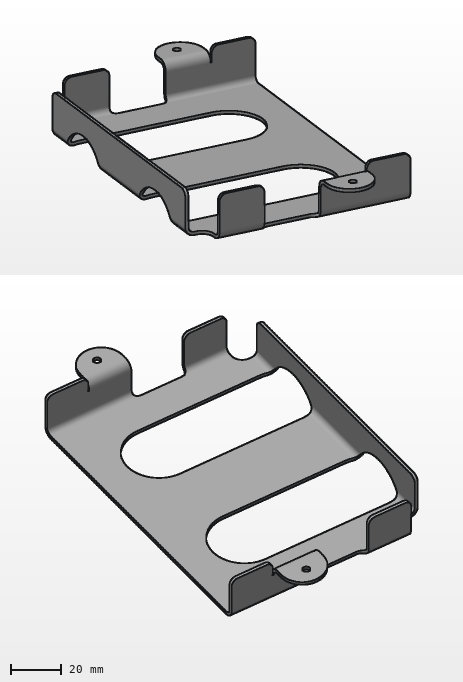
import cadquery as cq
import math

thickness = 1.5
inner_radius = 2.5
outer_radius = inner_radius + thickness
mid_radius = inner_radius + thickness / 2
corner_radius = 3.0

depth = 95.0
half_width = 65.5
plate_half_width = half_width - outer_radius
side_wall_height = 20.0
rear_wall_height = 20.5
front_tab_span = (10.0, 30.0)
notch_fillet = 3.0

front_half_width = 55.5
front_wall_height = 20.0
front_relief_radius = 5.0

ear_radius = 10.0
ear_tip_x = 80.5
ear_center = (ear_tip_x - ear_radius, 65.0)
ear_span = (ear_center[1] - ear_radius, ear_center[1] + ear_radius)
ear_top = 17.5
ear_bottom = ear_top - thickness
ear_bend_x = half_width + inner_radius
ear_bend_z = ear_bottom - inner_radius
ear_hole_diameter = 3.2
ear_hole_x = 73.5
slit_width = 0.5

slot_radius = 15.0
slot_x = 30.0
slot_rear_y = 65.0
slot_tip_z = 10.5
bend_length = mid_radius * math.radians(90)
slot_front_y = outer_radius + slot_radius - bend_length - (slot_tip_z - outer_radius)
slot_wall_z = slot_tip_z - slot_radius

side_bend_axes = ((1, 0, 0), (0, -1, 0))
front_bend_axes = ((0, -1, 0), (-1, 0, 0))
right_angle = math.radians(90)

loft_steps = 8
cut_margin = 0.5


def box(x_span, y_span, z_span):
    """Axis-aligned box given by its (low, high) spans."""
    size = [span[1] - span[0] for span in (x_span, y_span, z_span)]
    return cq.Workplane("XY").box(*size, centered=False).translate((x_span[0], y_span[0], z_span[0]))


def front_bend_point(along, radius, angle):
    """Point in the front bend; angle 0 is at the plate and 90 degrees at the wall."""
    y = outer_radius - radius * math.sin(angle)
    z = outer_radius - radius * math.cos(angle)
    return cq.Vector(along, y, z)


def side_bend_point(along, radius, angle):
    """Point in the +X side bend; angle 0 is at the plate and 90 degrees at the wall."""
    x = plate_half_width + radius * math.sin(angle)
    z = outer_radius - radius * math.cos(angle)
    return cq.Vector(x, along, z)


def bend_loft(bend_point, angles, spans, radii):
    """Piece of a bend whose span along the bend axis changes with the bend angle."""
    wires = []
    for angle, (low, high) in zip(angles, spans):
        corners = [(low, radii[0]), (high, radii[0]), (high, radii[1]), (low, radii[1])]
        points = [bend_point(along, radius, angle) for along, radius in corners]
        wires.append(cq.Wire.makePolygon(points, close=True))
    return cq.Workplane(obj=cq.Solid.makeLoft(wires))


def quarter_bend(axes, origin, length):
    """Quarter ring around the local origin in the local +x, -y quadrant, extruded by length."""
    diagonal = math.cos(math.radians(45))
    return (
        cq.Workplane(cq.Plane(origin=origin, xDir=axes[0], normal=axes[1]))
        .moveTo(0, -outer_radius)
        .threePointArc((outer_radius * diagonal, -outer_radius * diagonal), (outer_radius, 0))
        .lineTo(inner_radius, 0)
        .threePointArc((inner_radius * diagonal, -inner_radius * diagonal), (0, -inner_radius))
        .close()
        .extrude(length)
    )


def base_plate():
    """Flat plate with rounded inner corners beside the front wall."""
    side_y = front_tab_span[0]
    rear = box((-plate_half_width, plate_half_width), (side_y, depth), (0, thickness))
    front = box((-front_half_width, front_half_width), (outer_radius, side_y), (0, thickness))
    plate = rear.union(front)
    relief_x = front_half_width + front_relief_radius
    relief_y = side_y - front_relief_radius
    for side in (1, -1):
        x_span = sorted((side * front_half_width, side * relief_x))
        web = box(x_span, (relief_y, side_y), (0, thickness))
        round_cut = cq.Workplane("XY").center(side * relief_x, relief_y).circle(front_relief_radius)
        plate = plate.union(web.cut(round_cut.extrude(thickness)))
    return plate


def front_wall():
    """Front wall with rounded top corners, and its bend."""
    wall = box((-front_half_width, front_half_width), (0, thickness), (outer_radius, front_wall_height))
    wall = wall.edges("|Y and >Z").fillet(corner_radius)
    origin = (front_half_width, outer_radius, outer_radius)
    return wall.union(quarter_bend(front_bend_axes, origin, 2 * front_half_width))


def slot_cutters(center_x):
    """Plate, wall and bend cutting bodies of one round-ended slot, developed around the front bend."""
    x_span = (center_x - slot_radius, center_x + slot_radius)
    z_span = (-cut_margin, thickness + cut_margin)
    plate_cut = box(x_span, (slot_front_y, slot_rear_y), z_span)
    for end_y in (slot_front_y, slot_rear_y):
        end = cq.Workplane("XY").workplane(offset=z_span[0]).center(center_x, end_y).circle(slot_radius)
        plate_cut = plate_cut.union(end.extrude(z_span[1] - z_span[0]))
    plate_cut = plate_cut.intersect(box(x_span, (outer_radius, depth), z_span))

    wall_cut = cq.Workplane("XZ").center(center_x, slot_wall_z).circle(slot_radius).extrude(-thickness)
    wall_cut = wall_cut.intersect(box(x_span, (0, thickness), (outer_radius, front_wall_height)))

    angles = [right_angle * step / loft_steps for step in range(loft_steps + 1)]
    spans = []
    for angle in angles:
        distance = slot_front_y - outer_radius + mid_radius * angle
        reach = math.sqrt(slot_radius**2 - distance**2)
        spans.append((center_x - reach, center_x + reach))
    radii = (inner_radius - cut_margin, outer_radius + cut_margin)
    bend_cut = bend_loft(front_bend_point, angles, spans, radii)
    return plate_cut, wall_cut, bend_cut


def side_wall(span, height):
    """Straight +X side wall above its bend."""
    return box((half_width - thickness, half_width), span, (outer_radius, height))


def side_bend(wall_y, notch_y):
    """Bend between the plate and a +X side wall that runs from wall_y to notch_y along Y.

    At notch_y it widens into a fillet, developed around the bend, that meets the open notch.
    """
    direction = math.copysign(1, notch_y - wall_y)
    far_y = notch_y + direction * notch_fillet
    origin = (plate_half_width, max(wall_y, far_y), outer_radius)
    bend = quarter_bend(side_bend_axes, origin, abs(far_y - wall_y))

    outside_y = far_y + direction * cut_margin
    angles = []
    spans = []
    for step in range(loft_steps + 1):
        turn = right_angle * step / loft_steps
        rise = notch_fillet * (1 - math.cos(turn))
        width = notch_fillet * (1 - math.sin(turn))
        angles.append(rise / mid_radius)
        spans.append((notch_y + direction * width, outside_y))
    radii = (inner_radius - cut_margin, outer_radius + cut_margin)
    fillet_cut = bend_loft(side_bend_point, angles, spans, radii)

    halfway = (angles[-1] + right_angle) / 2
    trim_angles = (angles[-1], halfway, right_angle)
    trim_cut = bend_loft(side_bend_point, trim_angles, [spans[-1]] * len(trim_angles), radii)
    return bend.cut(fillet_cut).cut(trim_cut)


def ear():
    """Mounting ear with its bend at the top of the side wall."""
    origin = (ear_bend_x, ear_span[1], ear_bend_z)
    bend = quarter_bend(side_bend_axes, origin, ear_span[1] - ear_span[0])
    bend = bend.rotate(origin, (origin[0], origin[1] + 1, origin[2]), 180)
    tongue = box((ear_bend_x, ear_center[0]), ear_span, (ear_bottom, ear_top))
    tip = cq.Workplane("XY").workplane(offset=ear_bottom).center(*ear_center).circle(ear_radius)
    tip = tip.extrude(thickness).intersect(box((ear_bend_x, ear_tip_x), ear_span, (ear_bottom, ear_top)))
    hole = cq.Workplane("XY").workplane(offset=ear_bottom).center(ear_hole_x, ear_center[1])
    hole = hole.circle(ear_hole_diameter / 2).extrude(thickness)
    return bend.union(tongue).union(tip).cut(hole)


def side():
    """Everything that stands up on the +X side."""
    rear_span = (ear_span[0], depth)
    front_tab = side_wall(front_tab_span, side_wall_height).edges("|X and >Z").fillet(corner_radius)
    rear_tab = side_wall((ear_span[1] + slit_width, depth), rear_wall_height)
    rear_tab = rear_tab.edges("|X and >Z").fillet(corner_radius)
    parts = [
        side_bend(*front_tab_span),
        rear_tab,
        side_wall(rear_span, ear_bend_z),
        side_bend(depth, ear_span[0]),
        ear(),
    ]
    body = front_tab
    for part in parts:
        body = body.union(part)
    return body


right_side = side()
result = base_plate().union(front_wall()).union(right_side).union(right_side.mirror("YZ"))
for center_x in (slot_x, -slot_x):
    for cutter in slot_cutters(center_x):
        result = result.cut(cutter)